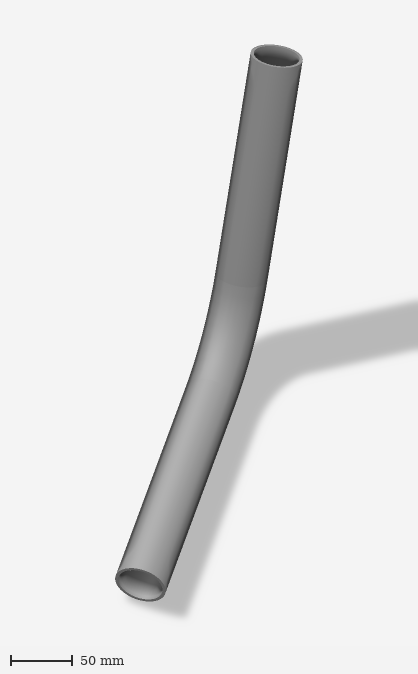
import cadquery as cq
import math

overall_length = 401.5
outer_diameter = 42.5
inner_diameter = 37.5
bend_radius = 100.0
bend_angle = 60.0

outer_radius = outer_diameter / 2
bend_sin = math.sin(math.radians(bend_angle))
bend_cos = math.cos(math.radians(bend_angle))
leg_length = (overall_length - (bend_radius + outer_radius) * bend_sin) / (1 + bend_cos)


def point_on_bend(angle):
    """Centreline point (y, z) on the bend, which starts at the origin heading along +Y."""
    turn = math.radians(angle)
    return (bend_radius * math.sin(turn), bend_radius * (1 - math.cos(turn)))


bend_end_y, bend_end_z = point_on_bend(bend_angle)
tip = (bend_end_y + leg_length * bend_cos, bend_end_z + leg_length * bend_sin)
centreline = (
    cq.Workplane("YZ")
    .moveTo(-leg_length, 0)
    .lineTo(0, 0)
    .threePointArc(point_on_bend(bend_angle / 2), (bend_end_y, bend_end_z))
    .lineTo(*tip)
)

result = (
    cq.Workplane("XZ", origin=(0, -leg_length, 0))
    .circle(outer_radius)
    .circle(inner_diameter / 2)
    .sweep(centreline)
)